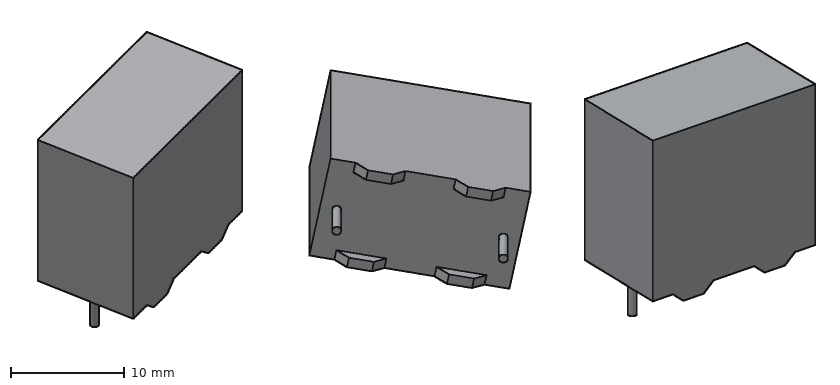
import cadquery as cq

overall_height = 19.81
body_width = 10.0
body_length = 18.0
body_height = 16.0
foot_height = 1.0
foot_thickness = 1.0
pin_diameter = 0.81
pin_pitch = 15.0

foot_root_length = body_length / 4
foot_tip_length = body_length / 8
foot_spacing = body_length / 2
pin_length = overall_height - body_height


def make_body():
    """Plain block standing on the plane Z = 0."""
    return cq.Workplane("XY").box(
        body_width, body_length, body_height, centered=(True, True, False)
    )


def make_foot(start_x, center_y):
    """Trapezoidal foot tapering downward along Y, flush with a long side wall."""
    half_root = foot_root_length / 2
    half_tip = foot_tip_length / 2
    return (
        cq.Workplane("YZ", origin=(start_x, center_y, 0))
        .moveTo(-half_root, 0)
        .lineTo(-half_tip, -foot_height)
        .lineTo(half_tip, -foot_height)
        .lineTo(half_root, 0)
        .close()
        .extrude(foot_thickness)
    )


def make_pins():
    """Two round lead pins on the body's centre line, pointing down."""
    return (
        cq.Workplane("XY")
        .pushPoints([(0, -pin_pitch / 2), (0, pin_pitch / 2)])
        .circle(pin_diameter / 2)
        .extrude(-pin_length)
    )


result = make_body().union(make_pins())

foot_starts = (-body_width / 2, body_width / 2 - foot_thickness)
for foot_start in foot_starts:
    for foot_center in (-foot_spacing / 2, foot_spacing / 2):
        result = result.union(make_foot(foot_start, foot_center))